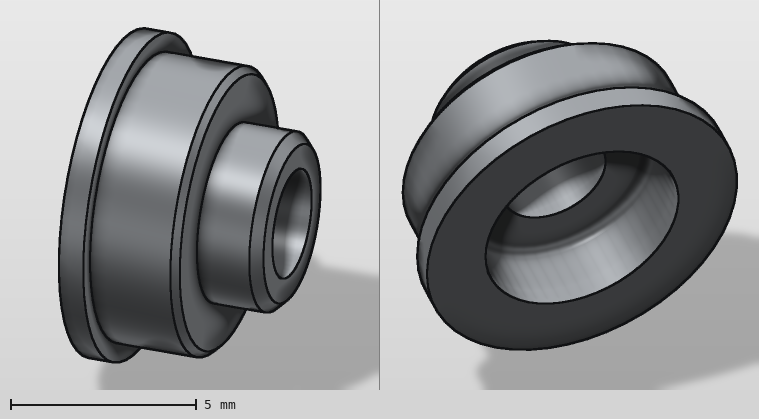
import cadquery as cq

total_length = 5.0
flange_diameter = 9.0
flange_thickness = 0.7

body_diameter = 7.96
body_end = 3.2
body_chamfer = 0.2

nose_diameter = 4.95
nose_chamfer = 0.3

bore_diameter = 3.0
recess_diameter = 5.6
recess_depth = 2.0
recess_fillet = 0.3


def cylinder(diameter, start, end):
    """Cylinder on the X axis between two X positions."""
    return cq.Workplane("YZ", origin=(start, 0, 0)).circle(diameter / 2).extrude(end - start)


flange = cylinder(flange_diameter, 0, flange_thickness)
body = cylinder(body_diameter, 0, body_end).faces(">X").chamfer(body_chamfer)
nose = cylinder(nose_diameter, 0, total_length).faces(">X").chamfer(nose_chamfer)

recess = cylinder(recess_diameter, 0, recess_depth).faces(">X").edges().fillet(recess_fillet)

bore = cylinder(bore_diameter, 0, total_length)

result = flange.union(body).union(nose).cut(recess).cut(bore)